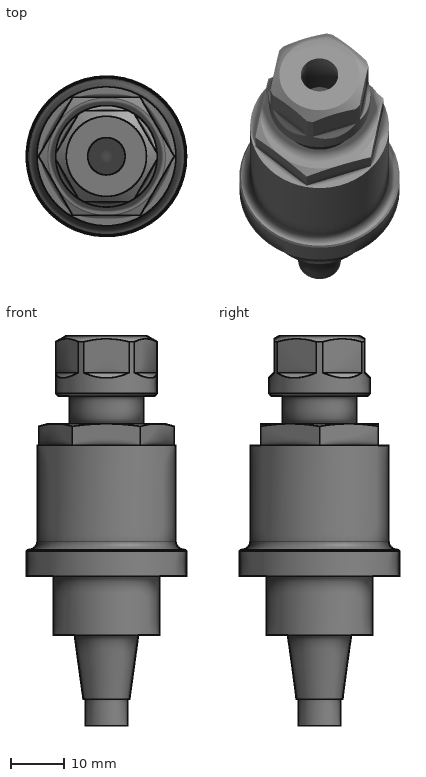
import cadquery as cq
import math

tip_top = 5.0
cone_top = 17.0
shank_top = 28.0
flange_top = 33.0
body_top = 52.5
hex_top = 56.5
nut_bottom = 61.7
overall_height = 73.0

tip_diameter = 8.0
cone_small_diameter = 8.7
cone_large_diameter = 12.0
shank_diameter = 20.0
flange_diameter = 30.0
body_diameter = 26.0
neck_diameter = 14.0
nut_diameter = 19.0
nut_face_diameter = 15.0
bore_diameter = 7.0

hex_across_flats = 22.0
nut_across_flats = 17.0
nut_flats_bottom = 66.1

flange_chamfer = 0.3
body_fillet = 1.5
hex_chamfer_angle = math.radians(15)
nut_top_chamfer_angle = math.radians(30)
nut_bottom_chamfer = 0.5

bore_depth = overall_height - nut_bottom


def corner_diameter(across_flats):
    """Across-corners size of a regular hexagon."""
    return across_flats / math.cos(math.pi / 6)


def cylinder(diameter, bottom, top):
    return cq.Workplane("XY").workplane(offset=bottom).circle(diameter / 2).extrude(top - bottom)


def hexagon_prism(across_flats, bottom, top):
    """Hexagonal prism with corners on the X axis."""
    plane = cq.Workplane("XY").workplane(offset=bottom)
    return plane.polygon(6, corner_diameter(across_flats)).extrude(top - bottom)


def revolve_profile(points):
    """Solid of revolution about Z from (radius, height) points."""
    return cq.Workplane("XZ").polyline(points).close().revolve(360, (0, 0, 0), (0, 1, 0))


def make_lower_body():
    """Tip, cone, shank, flange and main barrel, turned as one profile."""
    flange_radius = flange_diameter / 2
    body_radius = body_diameter / 2
    profile = (
        cq.Workplane("XZ")
        .moveTo(0, 0)
        .lineTo(tip_diameter / 2, 0)
        .lineTo(tip_diameter / 2, tip_top)
        .lineTo(cone_small_diameter / 2, tip_top)
        .lineTo(cone_large_diameter / 2, cone_top)
        .lineTo(shank_diameter / 2, cone_top)
        .lineTo(shank_diameter / 2, shank_top)
        .lineTo(flange_radius, shank_top)
        .lineTo(flange_radius, flange_top - flange_chamfer)
        .lineTo(flange_radius - flange_chamfer, flange_top)
        .lineTo(body_radius + body_fillet, flange_top)
        .radiusArc((body_radius, flange_top + body_fillet), body_fillet)
        .lineTo(body_radius, body_top)
        .lineTo(0, body_top)
        .close()
    )
    return profile.revolve(360, (0, 0, 0), (0, 1, 0))


def make_hexagon():
    """Hexagon on the barrel, its top corners cut by a shallow cone."""
    flat_radius = hex_across_flats / 2
    corner_radius = corner_diameter(hex_across_flats) / 2
    corner_drop = (corner_radius - flat_radius) * math.tan(hex_chamfer_angle)
    envelope = revolve_profile([
        (0, body_top),
        (corner_radius, body_top),
        (corner_radius, hex_top - corner_drop),
        (flat_radius, hex_top),
        (0, hex_top),
    ])
    return hexagon_prism(hex_across_flats, body_top, hex_top).intersect(envelope)


def make_nut():
    """Round nut with six flats that run out to the collar at 45 degrees."""
    nut_radius = nut_diameter / 2
    face_radius = nut_face_diameter / 2
    top_chamfer_drop = (nut_radius - face_radius) * math.tan(nut_top_chamfer_angle)
    turned = revolve_profile([
        (0, nut_bottom),
        (nut_radius - nut_bottom_chamfer, nut_bottom),
        (nut_radius, nut_bottom + nut_bottom_chamfer),
        (nut_radius, overall_height - top_chamfer_drop),
        (face_radius, overall_height),
        (0, overall_height),
    ])
    flats = hexagon_prism(nut_across_flats, nut_flats_bottom, overall_height)
    runout_height = nut_flats_bottom - nut_bottom
    runout_across_flats = nut_across_flats + 2 * runout_height
    runout = (
        cq.Workplane("XY")
        .workplane(offset=nut_bottom)
        .polygon(6, corner_diameter(runout_across_flats))
        .workplane(offset=runout_height)
        .polygon(6, corner_diameter(nut_across_flats))
        .loft(ruled=True)
    )
    return turned.intersect(flats.union(runout))


lower_body = make_lower_body()
hexagon = make_hexagon()
neck = cylinder(neck_diameter, hex_top, nut_bottom)
nut = make_nut()
bore = cylinder(bore_diameter, overall_height - bore_depth, overall_height)

result = lower_body.union(hexagon).union(neck).union(nut).cut(bore)